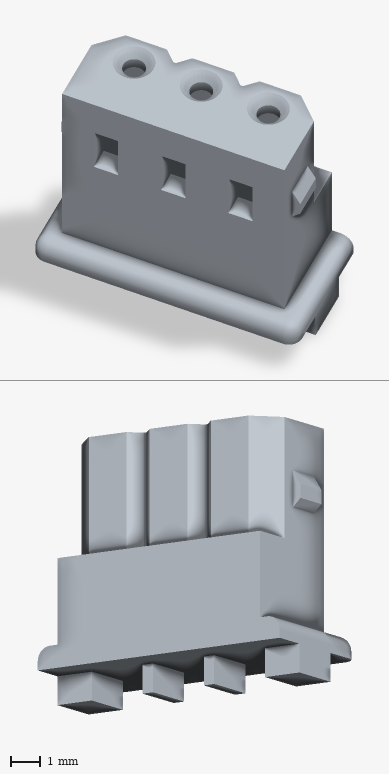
import cadquery as cq


contact_count = 3
contact_pitch = 2.5
contact_x = [(i - (contact_count - 1) / 2) * contact_pitch for i in range(contact_count)]
notch_x = [(a + b) / 2 for a, b in zip(contact_x, contact_x[1:])]

total_width = 9.9
total_depth = 4.7
total_height = 9.0

foot_height = 1.0
foot_depth = 1.9
foot_back_setback = 1.2
foot_gap_width = 2.08

flange_thickness = 0.8
flange_radius = 0.495
flange_overhang = 0.8

flange_top = foot_height + flange_thickness
block_width = total_width - 2 * flange_overhang
block_depth = total_depth - flange_overhang
block_height = total_height - flange_top
block_front_y = -block_depth

step_height = 4.2
step_depth = 0.6
corner_chamfer = 0.88
notch_width = 0.95
notch_depth = 0.44
notch_floor_width = 0.09

hole_diameter = 0.81
hole_depth = 0.7
lead_in_diameter = 1.45
lead_in_depth = 0.3
hole_back_distance = 1.6

window_width = 0.9
window_height = 1.76
window_top_drop = 1.45
window_depth = 0.79

latch_length = 1.28
latch_front_setback = 0.62
latch_reach = 0.31
latch_top_drop = 1.76
latch_nose_top_drop = 2.27
latch_nose_bottom_drop = 2.75
latch_bottom_drop = 3.05


def box(width, depth, height, center_x, back_y, bottom_z):
    """Box centred on center_x that runs forward from back_y and up from bottom_z."""
    plane = cq.Workplane("XY", origin=(center_x, back_y - depth / 2, bottom_z))
    return plane.box(width, depth, height, centered=(True, True, False))


def make_flange():
    plate = box(total_width, total_depth, flange_thickness, 0, 0, foot_height)
    plate = plate.edges("|Z and <Y").fillet(flange_radius)
    rounded_edges = plate.faces(">Z").edges("not(>Y)")
    return rounded_edges.fillet(flange_radius)


def make_foot_bar():
    bar = box(total_width, foot_depth, foot_height, 0, -foot_back_setback, 0)
    for x in contact_x:
        bar = bar.cut(box(foot_gap_width, foot_depth, foot_height, x, -foot_back_setback, 0))
    return bar


def step_prism(outline):
    """Upright prism over the outline, as tall as the step at the back of the block."""
    plane = cq.Workplane("XY", origin=(0, 0, total_height - step_height))
    return plane.polyline(outline).close().extrude(step_height)


def corner_cut(side):
    """Sloped corner at one end of the block; side is -1 for the left end and 1 for the right end."""
    wall_x = side * block_width / 2
    return step_prism([
        (wall_x, -step_depth),
        (wall_x - side * corner_chamfer, -step_depth),
        (wall_x, -step_depth - corner_chamfer),
    ])


def notch_cut(x):
    """V notch with a narrow flat floor, between two contact holes."""
    return step_prism([
        (x - notch_width / 2, -step_depth),
        (x - notch_floor_width / 2, -step_depth - notch_depth),
        (x + notch_floor_width / 2, -step_depth - notch_depth),
        (x + notch_width / 2, -step_depth),
    ])


def make_block():
    block = box(block_width, block_depth, block_height, 0, 0, flange_top)
    block = block.cut(box(block_width, step_depth, step_height, 0, 0, total_height - step_height))
    for side in (-1, 1):
        block = block.cut(corner_cut(side))
    for x in notch_x:
        block = block.cut(notch_cut(x))
    return block


def contact_hole(x):
    """Blind hole with its conical lead-in: a half section turned about the hole axis."""
    section = [
        (0, 0),
        (lead_in_diameter / 2, 0),
        (hole_diameter / 2, -lead_in_depth),
        (hole_diameter / 2, -hole_depth),
        (0, -hole_depth),
    ]
    plane = cq.Workplane("XZ", origin=(x, -hole_back_distance, total_height))
    return plane.polyline(section).close().revolve(360, (0, 0), (0, 1))


def window(x):
    bottom = total_height - window_top_drop - window_height
    return box(window_width, window_depth, window_height, x, block_front_y + window_depth, bottom)


def make_housing():
    body = make_flange().union(make_block()).union(make_foot_bar())
    for x in contact_x:
        body = body.cut(contact_hole(x)).cut(window(x))
    return body


def make_latch(side):
    """Wedge on one end of the block; side is -1 for the left end and 1 for the right end."""
    wall_x = side * block_width / 2
    nose_x = wall_x + side * latch_reach
    profile = [
        (wall_x, total_height - latch_top_drop),
        (nose_x, total_height - latch_nose_top_drop),
        (nose_x, total_height - latch_nose_bottom_drop),
        (wall_x, total_height - latch_bottom_drop),
    ]
    front_y = block_front_y + latch_front_setback
    return cq.Workplane("XZ", origin=(0, front_y, 0)).polyline(profile).close().extrude(-latch_length)


housing = make_housing()
latches = [make_latch(side) for side in (-1, 1)]

result = cq.Compound.makeCompound([housing.val(), *[latch.val() for latch in latches]])